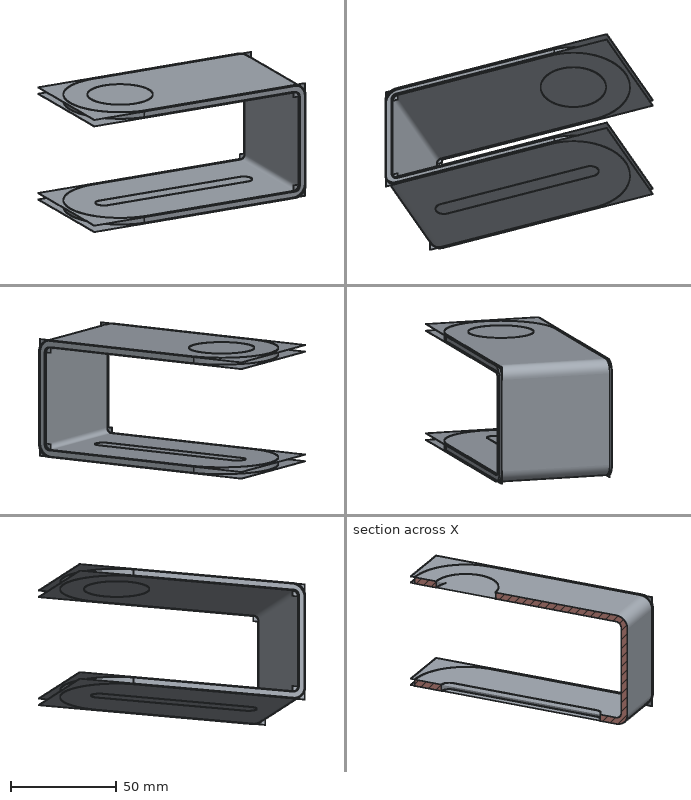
import cadquery as cq

length = 114.3
skin_width = 56.1
height = 56.4

strip_thickness = 3.5
bend_radius = 6.1
side_margin = 1.1
front_margin = 2.2
strip_width = skin_width - 2 * side_margin
end_radius = strip_width / 2

skin_thickness = 0.1
skin_recess = 0.1
corner_patch_size = 6.2
side_tab_length = 1.5

hole_diameter = 31.1
slot_width = 8.0
slot_length = 83.5
slot_center_y = 0.9

back_y = length / 2
front_y = -length / 2
top_z = height / 2
end_center_y = front_y + front_margin + end_radius
arm_z = top_z - strip_thickness / 2


def u_block(offset, width):
    """Rounded block inside the outer faces by offset, running past the open front."""
    depth = 2 * length
    block_height = height - 2 * offset
    return (
        cq.Workplane("XY")
        .box(width, depth, block_height)
        .translate((0, back_y - offset - depth / 2, 0))
        .edges("|X and >Y")
        .fillet(bend_radius - offset)
    )


def u_layer(outer_offset, inner_offset, width):
    """U-shaped layer between two depths below the outer faces, cut off at the front."""
    keep = cq.Workplane("XY").box(skin_width, length, height)
    return u_block(outer_offset, width).cut(u_block(inner_offset, width)).intersect(keep)


def rounded_outline():
    """Vertical prism with a straight back and a half-round front."""
    straight = back_y - end_center_y
    bar = (
        cq.Workplane("XY")
        .box(strip_width, straight, height)
        .translate((0, end_center_y + straight / 2, 0))
    )
    front = cq.Workplane("XY").cylinder(height, end_radius).translate((0, end_center_y, 0))
    return bar.union(front)


def make_strip():
    strip = u_layer(0, strip_thickness, strip_width).intersect(rounded_outline())
    hole = (
        cq.Workplane("XY")
        .cylinder(strip_thickness, hole_diameter / 2)
        .translate((0, end_center_y, arm_z))
    )
    slot = (
        cq.Workplane("XY")
        .slot2D(slot_length, slot_width, 90)
        .extrude(strip_thickness / 2, both=True)
        .translate((0, slot_center_y, -arm_z))
    )
    return strip.cut(hole).cut(slot)


def make_skins():
    """One skin just under the outer faces and one just under the inner faces."""
    outer = u_layer(skin_recess, skin_recess + skin_thickness, skin_width)
    inner_depth = strip_thickness - skin_recess
    inner = u_layer(inner_depth - skin_thickness, inner_depth, skin_width)
    return outer.union(inner)


def add_side_sheets(body):
    """Square patches over the bends and short tabs past the straight arm sides."""
    sheet_x = (strip_width - skin_thickness) / 2
    patch = cq.Workplane("XY").box(skin_thickness, corner_patch_size, corner_patch_size)
    tab = cq.Workplane("XY").box(skin_thickness, 2 * side_tab_length, strip_thickness)
    patch_y = back_y - corner_patch_size / 2
    patch_z = top_z - corner_patch_size / 2
    for side in (-1, 1):
        for level in (-1, 1):
            body = body.union(patch.translate((side * sheet_x, patch_y, level * patch_z)))
            body = body.union(tab.translate((side * sheet_x, end_center_y, level * arm_z)))
    return body


result = add_side_sheets(make_strip().union(make_skins()))